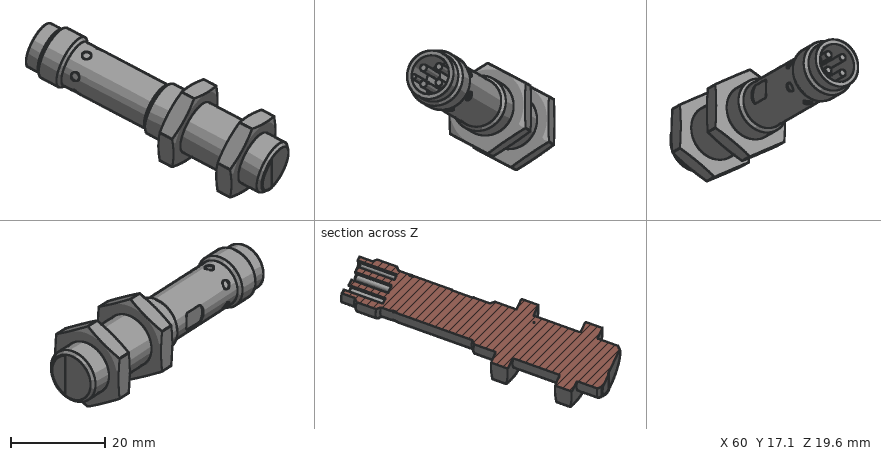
import cadquery as cq
import math

length = 60.0
shank_diameter = 10.5
sleeve_diameter = 12.0
shank_radius = shank_diameter / 2
sleeve_radius = sleeve_diameter / 2
edge_chamfer = sleeve_radius - shank_radius
collar_start = 3.0
collar_end = 9.0
sleeve_start = 30.0

pad_height = 0.2
pad_radius = 5.05
pad_edge_y = -1.45
face_x = length - pad_height

socket_diameter = 8.4
socket_depth = 9.0
pin_diameter = 1.5
pin_spacing = 3.5
pin_recess = 0.6
key_width = 1.1
key_center_y = 3.95

window_count = 6
window_diameter = 2.0
window_depth = 0.3
window_x = 12.0

recess_diameter = 6.0
recess_depth = 0.4
recess_x = 23.7

nut_flats = 17.05
nut_outer_diameter = 19.6
nut_thickness = 4.0
nut_starts = (35.7, 50.4)
nut_face_diameter = 16.55
nut_chamfer_length = 0.4
nut_corners = nut_flats / math.cos(math.radians(30))


def cylinder_x(start, end, diameter, y=0, z=0):
    """Cylinder parallel to X between two X positions."""
    return cq.Workplane("YZ", origin=(start, y, z)).circle(diameter / 2).extrude(end - start)


def chamfered_sleeve(start, end):
    """Full-diameter length of the body with both rims chamfered down to the shank."""
    return cylinder_x(start, end, sleeve_diameter).faces("<X or >X").chamfer(edge_chamfer)


def face_pad():
    """Part of a disc on the -Y side of the sensing face."""
    disc = cylinder_x(face_x, length, 2 * pad_radius)
    half_space = cq.Workplane("XY").box(length, sleeve_diameter, sleeve_diameter)
    return disc.intersect(half_space.translate((length, pad_edge_y - sleeve_diameter / 2, 0)))


def socket_key():
    """Round-nosed rib along the +Y wall of the socket."""
    nose = cylinder_x(pin_recess, socket_depth, key_width, y=key_center_y)
    root_end = (socket_diameter / 2 + shank_radius) / 2
    rib_length = socket_depth - pin_recess
    rib = (
        cq.Workplane("XY")
        .box(rib_length, root_end - key_center_y, key_width, centered=(False, False, True))
        .translate((pin_recess, key_center_y, 0))
    )
    return nose.union(rib)


def indicator_window(angle):
    """Cutter for one shallow flat-bottomed window, turned about X."""
    return (
        cq.Workplane("XY", origin=(window_x, 0, shank_radius - window_depth))
        .circle(window_diameter / 2)
        .extrude(sleeve_radius - shank_radius + window_depth)
        .rotate((0, 0, 0), (1, 0, 0), angle)
    )


def side_recess():
    """Cutter for the flat-bottomed recess on the +Y side."""
    floor_y = shank_radius - recess_depth
    return (
        cq.Workplane("XZ", origin=(recess_x, floor_y, 0))
        .circle(recess_diameter / 2)
        .extrude(floor_y - sleeve_radius)
    )


def hex_nut(start):
    """Nut with corners on the Z axis and conical chamfers on both faces, corners trimmed round."""
    hexagon = (
        cq.Workplane("YZ", origin=(start, 0, 0))
        .polygon(6, nut_corners)
        .extrude(nut_thickness)
        .rotate((0, 0, 0), (1, 0, 0), 90)
    )
    end = start + nut_thickness
    envelope = (
        cq.Workplane("XY")
        .moveTo(start, 0)
        .lineTo(start, nut_face_diameter / 2)
        .lineTo(start + nut_chamfer_length, nut_outer_diameter / 2)
        .lineTo(end - nut_chamfer_length, nut_outer_diameter / 2)
        .lineTo(end, nut_face_diameter / 2)
        .lineTo(end, 0)
        .close()
        .revolve(360, (0, 0, 0), (1, 0, 0))
    )
    return hexagon.intersect(envelope)


body = cylinder_x(0, face_x, shank_diameter)
body = body.union(chamfered_sleeve(collar_start, collar_end))
body = body.union(chamfered_sleeve(sleeve_start, face_x))
body = body.union(face_pad())

body = body.cut(cylinder_x(0, socket_depth, socket_diameter))
for side_y in (-1, 1):
    for side_z in (-1, 1):
        pin_y = side_y * pin_spacing / 2
        pin_z = side_z * pin_spacing / 2
        body = body.union(cylinder_x(pin_recess, socket_depth, pin_diameter, pin_y, pin_z))
body = body.union(socket_key())

for index in range(window_count):
    body = body.cut(indicator_window(index * 360 / window_count))
body = body.cut(side_recess())

for nut_start in nut_starts:
    body = body.union(hex_nut(nut_start))

result = body